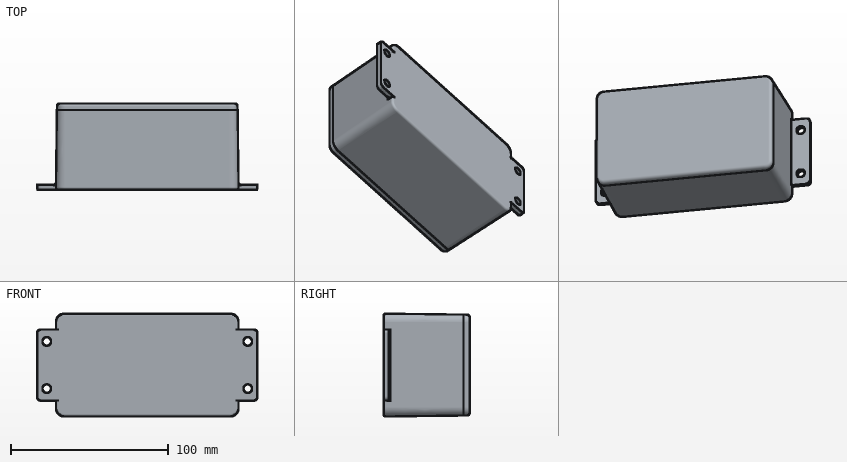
import cadquery as cq
import math

flange_span = 139.6
box_length = 115.9
box_height = 65.3
total_depth = 54.7

wall_draft = 0.7
corner_radius = 5.6
back_edge_radius = 1.5

lid_depth = 4.2
lid_edge_radius = 2.1
housing_depth = total_depth - lid_depth

flange_height = 45.2
flange_thickness = 3.2
flange_corner_radius = 2.5
flange_draft = 3.0
flange_root_radius = 1.3

hole_diameter = 5.3
hole_spacing_x = 127.3
hole_spacing_z = 29.9


def inset_at(depth):
    """How far a drafted box wall has moved inward at this depth."""
    return depth * math.tan(math.radians(wall_draft))


def drafted_block(start, depth):
    """Stretch of the drafted, round-cornered box from Y = start, running depth toward +Y."""
    inset = inset_at(start)
    outline = cq.Sketch().rect(box_length - 2 * inset, box_height - 2 * inset)
    outline = outline.vertices().fillet(corner_radius - inset)
    plane = cq.Plane(origin=(0, start, 0), xDir=(1, 0, 0), normal=(0, 1, 0))
    return cq.Workplane(plane).placeSketch(outline).extrude(depth, taper=wall_draft)


def flange_plate():
    """Plate through the box whose two ends are the mounting flanges."""
    outline = cq.Sketch().rect(flange_span, flange_height)
    outline = outline.vertices().fillet(flange_corner_radius)
    plane = cq.Workplane("XZ", origin=(0, flange_thickness, 0))
    return plane.placeSketch(outline).extrude(flange_thickness, taper=flange_draft)


def flange_root(side):
    """Concave fillet strip between a flange and the box end wall on this side."""
    wall_x = box_length / 2 - inset_at(flange_thickness)
    overlap = flange_root_radius / 2
    root_top = flange_thickness + flange_root_radius
    strip = (
        cq.Workplane("XY", origin=(0, 0, -flange_height / 2))
        .moveTo(side * (wall_x - overlap), flange_thickness - overlap)
        .lineTo(side * (wall_x + flange_root_radius), flange_thickness - overlap)
        .lineTo(side * (wall_x + flange_root_radius), flange_thickness)
        .radiusArc((side * wall_x, root_top), side * flange_root_radius)
        .lineTo(side * (wall_x - overlap), root_top)
        .close()
        .extrude(flange_height)
    )
    return strip


def make_housing():
    """Box with its two flanges, root fillets and screw holes."""
    housing = drafted_block(0, housing_depth)
    housing = housing.faces("<Y").edges().fillet(back_edge_radius)
    housing = housing.union(flange_plate())
    for side in (-1, 1):
        housing = housing.union(flange_root(side))
    holes = (
        cq.Workplane("XZ", origin=(0, flange_thickness, 0))
        .rarray(hole_spacing_x, hole_spacing_z, 2, 2)
        .circle(hole_diameter / 2)
        .extrude(flange_thickness)
    )
    return housing.cut(holes)


def make_lid():
    """Cover that continues the box walls, with a rounded outer edge."""
    lid = drafted_block(housing_depth, lid_depth)
    return lid.faces(">Y").edges().fillet(lid_edge_radius)


housing = make_housing()
lid = make_lid()

result = cq.Compound.makeCompound([housing.solids().val(), lid.solids().val()])